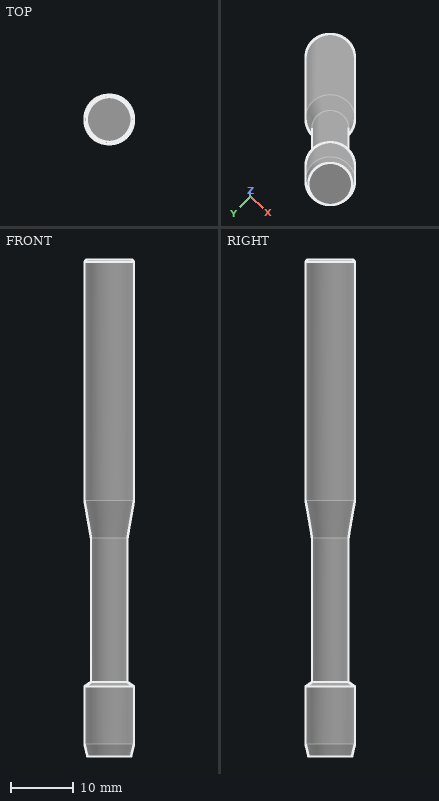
import cadquery as cq

total_length = 80.0
body_radius = 4.0

head_length = 12.0
lead_length = 2.0
lead_tip_radius = 3.5
shoulder_height = 0.7

neck_radius = 3.0
taper_bottom_z = 35.2
taper_length = 6.0
taper_top_z = taper_bottom_z + taper_length

end_chamfer_width = 0.4
end_chamfer_height = 0.4


def revolve_profile(profile):
    """Turn a closed profile of (radius, height) points about the Z axis."""
    return cq.Workplane("XZ").polyline(profile).close().revolve(360, (0, 0, 0), (0, 1, 0))


def make_head():
    """Cylindrical head with a conical lead below and a conical shoulder at the neck."""
    return revolve_profile([
        (0, 0),
        (lead_tip_radius, 0),
        (body_radius, lead_length),
        (body_radius, head_length - shoulder_height),
        (neck_radius, head_length),
        (0, head_length),
    ])


def make_shank():
    """Neck standing on the head, tapering out to a chamfered cylindrical shank."""
    return revolve_profile([
        (0, head_length),
        (neck_radius, head_length),
        (neck_radius, taper_bottom_z),
        (body_radius, taper_top_z),
        (body_radius, total_length - end_chamfer_height),
        (body_radius - end_chamfer_width, total_length),
        (0, total_length),
    ])


head = make_head()
shank = make_shank()

result = cq.Compound.makeCompound([head.val(), shank.val()])